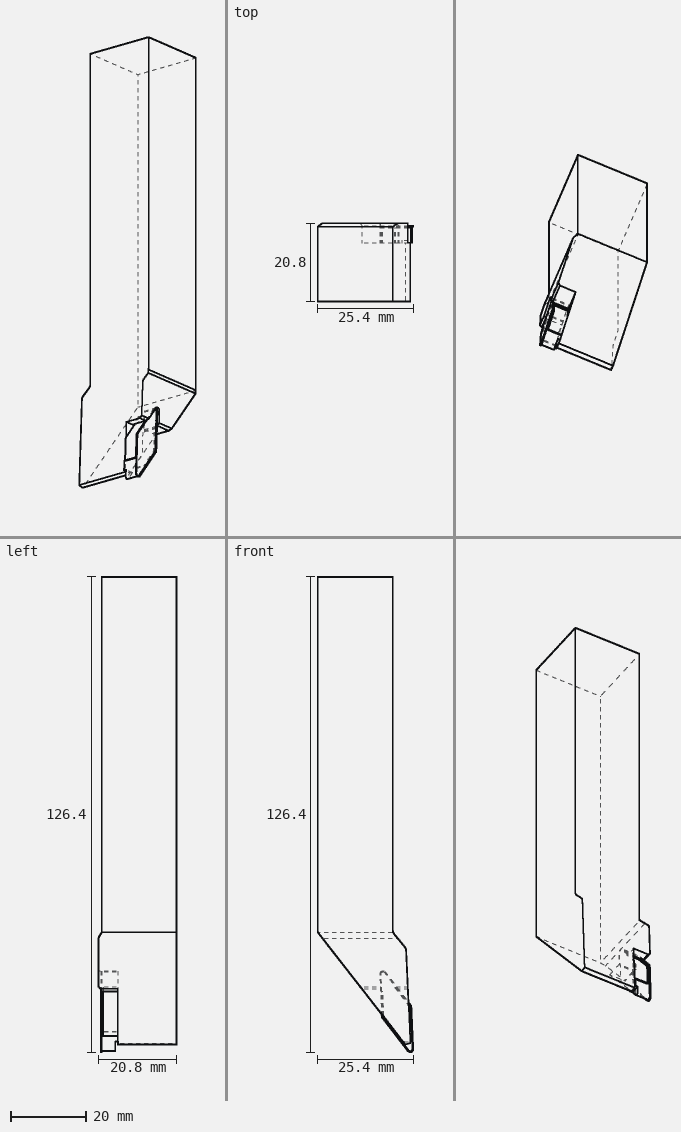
import cadquery as cq
import math

LENGTH = 126.4
SHANK = 20.0
HEAD_Z = 31.8
HEAD_SHOULDER = (23.5, 27.5)
HEAD_TIP_RIGHT = (24.6, 2.4)
HEAD_TIP_LEFT = (23.2, 2.0)
SHOULDER_RADIUS = 1.9
BOSS_Y = 20.8
BOSS_RAMP = 1.5
POCKET_FLOOR_Y = 15.7
POCKET_TOP_Z = 16.8
POCKET_CHAMFER = 0.6

INSERT_TOP_Y = 20.2
NOSE_ANGLE = 35.0
EDGE = 14.0
NOSE_RADIUS = 0.82
FLANK_TILT = 2.5
CUTTING_X = 25.4
RIM_THICKNESS = 0.3
BODY_INSET = 0.3
RELIEF_INSET = 0.5
RELIEF_TOP_Y = 19.6
RELIEF_HALF_LENGTH = 6.3
TIP_BASE_Y = 16.3
TIP_STEP_Z = 2.8

half_angle = math.radians(NOSE_ANGLE / 2)
lean = FLANK_TILT + NOSE_ANGLE / 2
inradius = EDGE * math.sin(2 * half_angle) / 2
half_long = EDGE * math.cos(half_angle)
half_short = EDGE * math.sin(half_angle)
nose_to_center = half_long - NOSE_RADIUS / math.sin(half_angle)
center_x = CUTTING_X - NOSE_RADIUS - nose_to_center * math.sin(math.radians(lean))
center_z = NOSE_RADIUS + nose_to_center * math.cos(math.radians(lean))


def place(shape, base_y):
    """Move a shape drawn on XZ about the origin to the insert's seat."""
    return shape.rotate((0, 0, 0), (0, 1, 0), -lean).translate((center_x, base_y, center_z))


def rhombus(inset, base_y, top_y):
    """Rhombic prism with rounded corners, its flanks moved inwards by inset."""
    scale = (inradius - inset) / inradius
    long, short = half_long * scale, half_short * scale
    prism = (
        cq.Workplane("XZ")
        .polyline([(0, -long), (short, 0), (0, long), (-short, 0)])
        .close()
        .extrude(base_y - top_y)
        .edges("|Y")
        .fillet(NOSE_RADIUS - inset)
    )
    return place(prism, base_y)


def make_insert():
    rim_y = INSERT_TOP_Y - RIM_THICKNESS
    rim = rhombus(0, rim_y, INSERT_TOP_Y)
    body = rhombus(BODY_INSET, POCKET_FLOOR_Y, rim_y)
    relief_band = place(
        cq.Workplane("XZ")
        .rect(4 * half_short, 2 * RELIEF_HALF_LENGTH)
        .extrude(POCKET_FLOOR_Y - RELIEF_TOP_Y),
        POCKET_FLOOR_Y,
    )
    relief = relief_band.cut(rhombus(RELIEF_INSET, POCKET_FLOOR_Y, RELIEF_TOP_Y))
    tip_step = cq.Workplane("XY").box(
        2 * CUTTING_X, TIP_BASE_Y, TIP_STEP_Z, centered=False
    )
    return rim.union(body).cut(relief).cut(tip_step)


def make_boss_envelope():
    """Side outline of the holder, including the boss and the insert pocket."""
    return (
        cq.Workplane("YZ")
        .polyline([
            (0, 0),
            (POCKET_FLOOR_Y, 0),
            (POCKET_FLOOR_Y, POCKET_TOP_Z),
            (BOSS_Y - POCKET_CHAMFER, POCKET_TOP_Z),
            (BOSS_Y, POCKET_TOP_Z + POCKET_CHAMFER),
            (BOSS_Y, HEAD_Z - BOSS_RAMP),
            (SHANK, HEAD_Z),
            (SHANK, LENGTH),
            (0, LENGTH),
        ])
        .close()
        .extrude(CUTTING_X)
    )


def make_holder():
    profile = (
        cq.Workplane("XZ")
        .polyline([
            (0, LENGTH),
            (SHANK, LENGTH),
            (SHANK, HEAD_Z),
            HEAD_SHOULDER,
            HEAD_TIP_RIGHT,
            HEAD_TIP_LEFT,
            (0, HEAD_Z),
        ])
        .close()
        .extrude(-BOSS_Y)
    )
    for x, z in [(SHANK, HEAD_Z), HEAD_SHOULDER]:
        corner = cq.selectors.NearestToPointSelector((x, BOSS_Y / 2, z))
        profile = profile.edges(corner).fillet(SHOULDER_RADIUS)
    insert_seat = rhombus(0, POCKET_FLOOR_Y, BOSS_Y)
    return profile.intersect(make_boss_envelope()).cut(insert_seat)


holder = make_holder()
insert = make_insert()
result = cq.Compound.makeCompound([holder.val(), insert.val()])